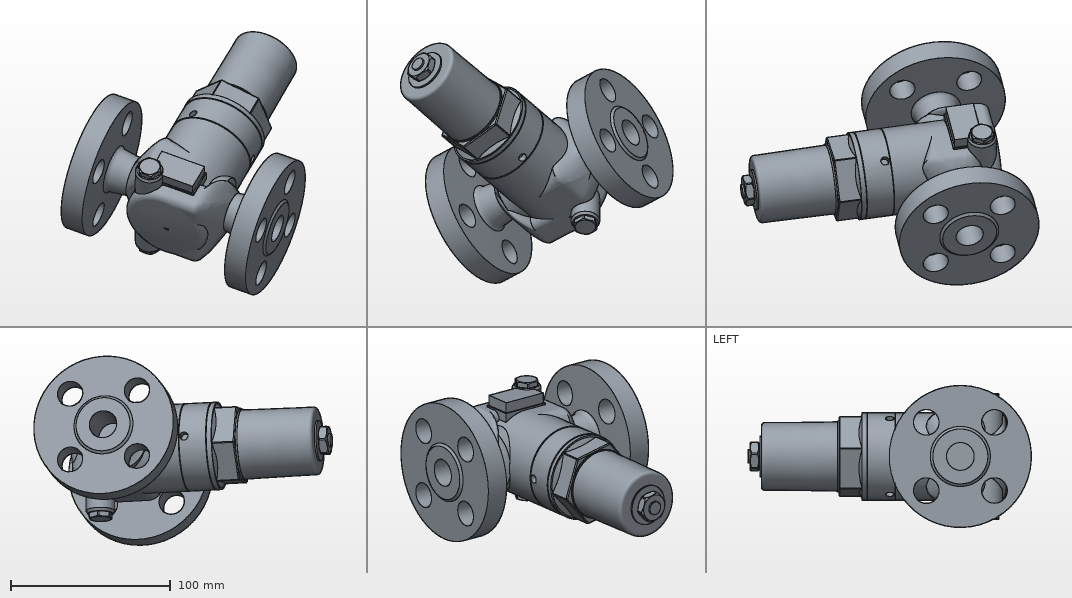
import cadquery as cq
import math


half_length = 65.0
flange_radius = 44.5
flange_front = 63.6
flange_back = 49.1
hub_back = 47.9
raised_face_base_radius = 18.8
raised_face_radius = 17.2
bolt_hole_diameter = 16.0
bolt_circle_radius = 30.1
bolt_hole_count = 4
first_bolt_angle = 45
neck_root_radius = 15.8
neck_root_x = 46.8
neck_round_radius = 14.7
neck_mid_x = 44.8
neck_mid_radius = 14.0
neck_radius = 12.5
neck_waist_x = 33.7
bore_diameter = 17.4
bore_depth = 31.0

body_radius = 27.5
dome_y = -29.6
dome_rim_y = -28.5
dome_rim_radius = 22.5
bottom_round = 4.6
rim_bulge = math.sin(math.pi / 4)
joint_y = 40.5
collar_y = 58.0
collar_top_y = 61.5
joint_groove = 0.4
collar_hole_diameter = 5.1
collar_hole_depth = 5.3
collar_hole_y = 44.1
collar_hole_count = 3

bulge_shoulder_x = 19.5
bulge_steps = 4
neck_corner_radius = 12.4
inlet_y_min = -16.0
inlet_y_max = 21.5
inlet_y_middle = 12.5
inlet_corner_radius = 9.4
inlet_middle_corner_radius = 0.9
outlet_y_min = -28.4
outlet_y_max = -5.8
outlet_corner_radius = 5.3
flare_mid_x = 29.5
flare_mid_radius = 16.1
flare_x = 27.1
flare_radius = 20.4

hex_turn = -10.8
hex_flats = 46.0
hex_corner_diameter = 52.8
hex_foot_height = 2.0
hex_top_y = 75.9
hex_bevel = 0.7
cap_ring_radius = 22.3
cap_ring_top_y = 77.0
cap_base_radius = 21.8
cap_radius = 21.3
cap_top_y = 124.5
cap_round = 2.1
washer_diameter = 25.5
washer_top_y = 125.5
nut_flats = 17.0
nut_corner_diameter = 19.1
nut_bottom_y = 126.0
nut_top_y = 131.5
nut_face_diameter = 16.7
nut_bevel = 0.9
stud_diameter = 8.5
stud_top_y = 132.7

plug_x = -15.0
plug_y = -17.4
boss_diameter = 18.0
boss_top_diameter = 16.0
boss_top_z = 36.0
boss_bevel_height = 1.8
plug_flats = 13.5
plug_corner_diameter = 15.0
plug_top_z = 39.3
plug_face_diameter = 12.8
plug_bevel = 0.5

pad_half_length = 14.7
pad_y_min = -17.5
pad_y_max = 0.0
pad_top_z = 35.3
pad_foot_top_z = 28.5
pad_foot_rim = 0.9


def blend(start, end, progress):
    """Value between start and end."""
    return start + (end - start) * progress


def y_cylinder(diameter, y_start, y_end):
    """Cylinder about the Y axis."""
    disc = cq.Workplane("XZ", origin=(0, y_start, 0)).circle(diameter / 2)
    return disc.extrude(y_start - y_end)


def trimmed_hexagon(flats, corner_diameter, height):
    """Hexagon along Z, corners on X, with its corners trimmed to a cylinder."""
    prism = cq.Workplane("XY").polygon(6, flats / math.cos(math.pi / 6)).extrude(height)
    return prism.intersect(cq.Workplane("XY").circle(corner_diameter / 2).extrude(height))


def bevel_disc(diameter, height, beveled_ends, end_diameter, bevel_height):
    """Cylinder along Z with the selected ends turned down to end_diameter."""
    disc = cq.Workplane("XY").circle(diameter / 2).extrude(height)
    return disc.faces(beveled_ends).chamfer(bevel_height, (diameter - end_diameter) / 2)


def stand_on_y(solid, y_start, turn):
    """Lay a Z solid along +Y from y_start, turned about the Y axis."""
    lying = solid.rotate((0, 0, 0), (1, 0, 0), -90)
    return lying.rotate((0, 0, 0), (0, 1, 0), -turn).translate((0, y_start, 0))


def make_flange():
    """Flange with raised face and neck on the -X side, reaching the middle of the body."""
    profile = (
        cq.Workplane("XY")
        .moveTo(0, 0)
        .lineTo(-half_length, 0)
        .lineTo(-half_length, raised_face_radius)
        .lineTo(-flange_front, raised_face_base_radius)
        .lineTo(-flange_front, flange_radius)
        .lineTo(-flange_back, flange_radius)
        .lineTo(-hub_back, neck_root_radius)
        .threePointArc((-neck_root_x, neck_round_radius), (-neck_mid_x, neck_mid_radius))
        .lineTo(-neck_waist_x, neck_radius)
        .lineTo(0, neck_radius)
        .close()
    )
    flange = profile.revolve(360, (0, 0, 0), (1, 0, 0))
    face = cq.Workplane("YZ", origin=(-half_length, 0, 0))
    centers = face.polarArray(bolt_circle_radius, first_bolt_angle, 360, bolt_hole_count)
    holes = centers.circle(bolt_hole_diameter / 2).extrude(half_length - neck_waist_x)
    return flange.cut(holes)


def make_body():
    """Round body with a domed bottom and the joint grooves at the collar."""
    profile = (
        cq.Workplane("XY")
        .moveTo(0, dome_y)
        .threePointArc(
            (dome_rim_radius / 2, dome_y + (dome_rim_y - dome_y) / 4),
            (dome_rim_radius, dome_rim_y),
        )
        .threePointArc(
            (blend(dome_rim_radius, body_radius, rim_bulge), dome_rim_y + bottom_round * (1 - rim_bulge)),
            (body_radius, dome_rim_y + bottom_round),
        )
        .lineTo(body_radius, collar_top_y)
        .lineTo(0, collar_top_y)
        .close()
    )
    body = profile.revolve(360, (0, 0, 0), (0, 1, 0))
    for groove_y in (joint_y, collar_y):
        core = y_cylinder(2 * (body_radius - joint_groove), groove_y, groove_y + joint_groove)
        ring = y_cylinder(3 * body_radius, groove_y, groove_y + joint_groove).cut(core)
        body = body.cut(ring)
    for index in range(collar_hole_count):
        hole = (
            cq.Workplane("YZ", origin=(body_radius - collar_hole_depth, collar_hole_y, 0))
            .circle(collar_hole_diameter / 2)
            .extrude(2 * collar_hole_depth)
        )
        body = body.cut(hole.rotate((0, 0, 0), (0, 1, 0), index * 360 / collar_hole_count))
    return body


def bulge_section(x, half_width, y_low, y_high, corner_radius):
    """Rounded rectangle across the pipe axis at x, centered on z = 0."""
    rectangle = cq.Sketch().rect(y_high - y_low, 2 * half_width).vertices().fillet(corner_radius)
    return rectangle.moved(cq.Location(cq.Vector((y_high + y_low) / 2, 0, x)))


def make_bulge(y_low, y_high, corner_radius, y_high_middle, corner_radius_middle, rise):
    """Passage bulge on the +X side, swelling from the neck to the body and running to its middle.

    y_low and y_high are its sides at the shoulder, and the _middle values hold at x = 0.
    rise gives how far the upper side has moved, for a progress of 0 to 1 from neck to shoulder.
    """
    sections = []
    for step in range(bulge_steps + 1):
        progress = step / bulge_steps
        swell = math.sin(progress * math.pi / 2)
        sections.append(
            bulge_section(
                blend(neck_waist_x, bulge_shoulder_x, progress),
                blend(neck_radius, body_radius, swell),
                blend(-neck_radius, y_low, swell),
                blend(neck_radius, y_high, rise(progress)),
                blend(neck_corner_radius, corner_radius, swell),
            )
        )
    swelling = cq.Workplane("YZ").placeSketch(*sections).loft()
    middle = bulge_section(0, body_radius, y_low, y_high_middle, corner_radius_middle)
    straight = cq.Workplane("YZ").placeSketch(sections[-1], middle).loft(ruled=True)
    return swelling.union(straight)


def make_inlet_bulge():
    """Bulge on the -X side that climbs toward the collar."""

    def smooth_rise(progress):
        return progress**2 * (3 - 2 * progress)

    bulge = make_bulge(
        inlet_y_min, inlet_y_max, inlet_corner_radius, inlet_y_middle, inlet_middle_corner_radius, smooth_rise
    )
    return bulge.mirror("YZ")


def make_outlet_bulge():
    """Bulge on the +X side that drops toward the domed bottom, with a flare where neck and body meet."""

    def late_rise(progress):
        return progress**2

    bulge = make_bulge(
        outlet_y_min, outlet_y_max, outlet_corner_radius, outlet_y_max, outlet_corner_radius, late_rise
    )
    flare = (
        cq.Workplane("XY")
        .moveTo(0, 0)
        .lineTo(neck_waist_x, 0)
        .lineTo(neck_waist_x, neck_radius)
        .threePointArc((flare_mid_x, flare_mid_radius), (flare_x, flare_radius))
        .lineTo(0, flare_radius)
        .close()
        .revolve(360, (0, 0, 0), (1, 0, 0))
    )
    return bulge.union(flare)


def make_bonnet():
    """Hexagon, tapered cap, washer, nut and stud above the collar."""
    hexagon = trimmed_hexagon(hex_flats, hex_corner_diameter, hex_top_y - collar_top_y)
    hexagon = hexagon.faces(">Z").chamfer(hex_bevel)
    foot = (
        cq.Workplane("XY")
        .moveTo(0, collar_top_y)
        .lineTo(hex_corner_diameter / 2, collar_top_y)
        .lineTo(hex_flats / 2, collar_top_y + hex_foot_height)
        .lineTo(0, collar_top_y + hex_foot_height)
        .close()
        .revolve(360, (0, 0, 0), (0, 1, 0))
    )
    cap = (
        cq.Workplane("XY")
        .moveTo(0, hex_top_y)
        .lineTo(cap_ring_radius, hex_top_y)
        .lineTo(cap_ring_radius, cap_ring_top_y)
        .lineTo(cap_base_radius, cap_ring_top_y)
        .lineTo(cap_radius, cap_top_y)
        .lineTo(0, cap_top_y)
        .close()
        .revolve(360, (0, 0, 0), (0, 1, 0))
        .faces(">Y")
        .edges()
        .fillet(cap_round)
    )
    nut_height = nut_top_y - nut_bottom_y
    nut = trimmed_hexagon(nut_flats, nut_corner_diameter, nut_height).intersect(
        bevel_disc(nut_corner_diameter, nut_height, "<Z or >Z", nut_face_diameter, nut_bevel)
    )
    return (
        stand_on_y(hexagon, collar_top_y, hex_turn)
        .union(foot)
        .union(cap)
        .union(y_cylinder(washer_diameter, cap_top_y, washer_top_y))
        .union(y_cylinder(stud_diameter, cap_top_y, stud_top_y))
        .union(stand_on_y(nut, nut_bottom_y, hex_turn))
    )


def make_plug():
    """Boss with a hexagon plug, rising from the pipe plane along +Z."""
    boss = bevel_disc(boss_diameter, boss_top_z, ">Z", boss_top_diameter, boss_bevel_height)
    head_height = plug_top_z - boss_top_z
    head = trimmed_hexagon(plug_flats, plug_corner_diameter, head_height).intersect(
        bevel_disc(plug_corner_diameter, head_height, ">Z", plug_face_diameter, plug_bevel)
    )
    return boss.union(head.translate((0, 0, boss_top_z))).translate((plug_x, plug_y, 0))


def make_pad():
    """Name plate pad on the +Z side, standing on a slightly wider foot."""
    length = 2 * pad_half_length
    height = pad_y_max - pad_y_min
    mid_y = (pad_y_max + pad_y_min) / 2
    plate = cq.Workplane("XY").center(0, mid_y).rect(length, height).extrude(pad_top_z)
    foot = cq.Workplane("XY").center(0, mid_y).rect(length + 2 * pad_foot_rim, height + 2 * pad_foot_rim)
    return plate.union(foot.extrude(pad_foot_top_z))


flange = make_flange()
plug = make_plug()
result = (
    make_body()
    .union(make_inlet_bulge())
    .union(make_outlet_bulge())
    .union(flange)
    .union(flange.mirror("YZ"))
    .union(make_bonnet())
    .union(plug)
    .union(plug.mirror("XY"))
    .union(make_pad())
)
for side in (-1, 1):
    bore = cq.Workplane("YZ", origin=(side * half_length, 0, 0)).circle(bore_diameter / 2)
    result = result.cut(bore.extrude(-side * bore_depth))